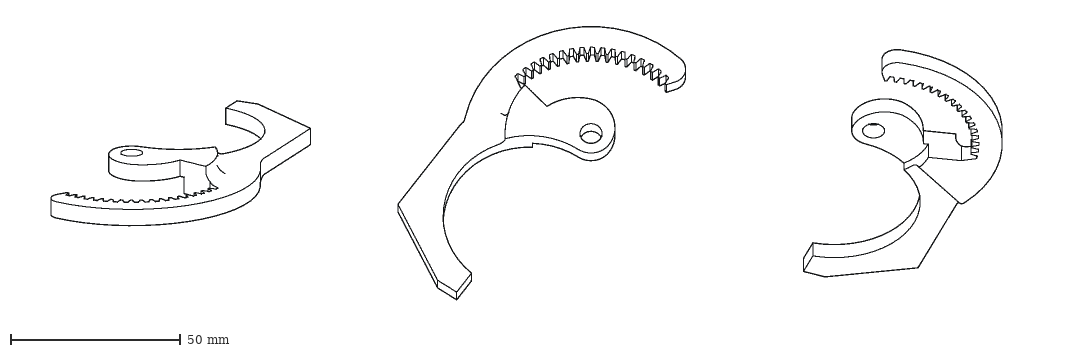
import cadquery as cq
import math

total_height = 10.2
plate = total_height / 2
jaw_bottom = plate / 2
jaw_top = total_height - plate / 2

hole_diameter = 6.5
hub_radius = 6.5
lobe_radius = 10.0
lobe_center_x = lobe_radius - hub_radius
lobe_end_x = 5.3
flank_radius = 15.6
hub_corner = (15.8, 0.1)

mouth_radius = 25.4
mouth_center_y = hub_radius + mouth_radius
jaw_end_x = 3.1
jaw_end_y = 64.7
jaw_flat_end_x = 10.0
jaw_back_x = 34.0
jaw_bevel_angle = 30

ring_radius = 38.0
cap_radius = 4.5
cap_left_x = -10.0
root_radius = 31.1
tip_radius = 29.1
full_turn_teeth = 63
gap_count = 17
first_gap_angle = -10.0
root_gap_width = 1.1
tooth_tip_width = 0.6

lead_bend_start = (26.9, -2.4)
lead_bend_end = (29.1, -3.8)

step_radius = 25.4
jaw_fillet = 2.5
ring_fillet = 3.7
clearance_radius = 17.3

ramp_run = 4.3
upper_ramp_angle = 44
upper_ramp_start_y = 19.4
lower_ramp_angle = 32.5
lower_ramp_start_y = 19.8

reach = 154.0

corner_size = (61.6, 35.9)
corner_start = (8.2, -10.3)
ring_fillet_start_angle = -30
ring_fillet_sweep = 90


def polar(radius, degrees):
    angle = math.radians(degrees)
    return (radius * math.cos(angle), radius * math.sin(angle))


def cap_center():
    x = cap_left_x + cap_radius
    return (x, -math.sqrt((ring_radius - cap_radius) ** 2 - x**2))


def tangent_point_on_cap(point):
    """Point where the line from `point` touches the outer side of the cap."""
    cx, cy = cap_center()
    dx, dy = point[0] - cx, point[1] - cy
    swing = math.acos(cap_radius / math.hypot(dx, dy))
    tx, ty = polar(cap_radius, math.degrees(math.atan2(dy, dx) + swing))
    return (cx + tx, cy + ty)


def tooth_points():
    """Corners of the teeth, from the cap end to the hub end of the ring."""
    pitch = 360 / full_turn_teeth
    half_root = math.degrees(root_gap_width / 2 / root_radius)
    half_tip = math.degrees(tooth_tip_width / 2 / tip_radius)
    points = []
    for index in reversed(range(gap_count)):
        gap = first_gap_angle - index * pitch
        tooth = gap - pitch / 2
        points.append(polar(tip_radius, tooth - half_tip))
        points.append(polar(tip_radius, tooth + half_tip))
        points.append(polar(root_radius, gap - half_root))
        points.append(polar(root_radius, gap + half_root))
    return points


def plan_outline():
    mouth_end_y = mouth_center_y + math.sqrt(mouth_radius**2 - jaw_end_x**2)
    bevel_drop = (jaw_back_x - jaw_flat_end_x) * math.tan(math.radians(jaw_bevel_angle))
    ring_start_y = math.sqrt(ring_radius**2 - jaw_back_x**2)
    cx, cy = cap_center()
    cap_start = polar(ring_radius, math.degrees(math.atan2(cy, cx)))
    teeth = tooth_points()
    lobe_end_y = -math.sqrt(lobe_radius**2 - (lobe_end_x - lobe_center_x) ** 2)
    lobe_mid = polar(lobe_radius, 225)
    return (
        cq.Workplane("XY")
        .moveTo(0, hub_radius)
        .threePointArc((mouth_radius, mouth_center_y), (jaw_end_x, mouth_end_y))
        .lineTo(jaw_end_x, jaw_end_y)
        .lineTo(jaw_flat_end_x, jaw_end_y)
        .lineTo(jaw_back_x, jaw_end_y - bevel_drop)
        .lineTo(jaw_back_x, ring_start_y)
        .threePointArc(polar(ring_radius, -45), cap_start)
        .threePointArc((cap_left_x, cy), tangent_point_on_cap(teeth[0]))
        .polyline(teeth, includeCurrent=True)
        .lineTo(*lead_bend_end)
        .tangentArcPoint(lead_bend_start, relative=False)
        .lineTo(*hub_corner)
        .radiusArc((lobe_end_x, lobe_end_y), flank_radius)
        .threePointArc((lobe_center_x + lobe_mid[0], lobe_mid[1]), (-hub_radius, 0))
        .threePointArc(polar(hub_radius, 135), (0, hub_radius))
        .close()
    )


def ramp_body(angle, start_y, high, low, far_z):
    """Block between `far_z` and an S-shaped face from `high` down to `low`."""
    along_x, along_y = polar(1, angle)
    plane = cq.Plane(
        origin=(jaw_back_x, start_y, 0),
        xDir=(along_y, -along_x, 0),
        normal=(-along_x, -along_y, 0),
    )
    middle = (ramp_run / 2, (high + low) / 2)
    return (
        cq.Workplane(plane)
        .moveTo(-reach, far_z)
        .lineTo(-reach, high)
        .lineTo(0, high)
        .tangentArcPoint(middle, relative=False)
        .tangentArcPoint((ramp_run, low), relative=False)
        .lineTo(reach, low)
        .lineTo(reach, far_z)
        .close()
        .extrude(reach, both=True)
    )


def is_step_foot(edge):
    """True for an edge where the hub step stands on the jaw, the ramp or the ring."""
    tolerance = 0.01
    samples = [edge.positionAt(t) for t in (0.2, 0.5, 0.8)]
    on_step = all(abs(math.hypot(p.x, p.y) - step_radius) < tolerance for p in samples)
    return on_step and edge.Center().z < jaw_top + tolerance


def stepped_body():
    """Jaw and ring tops joined by the upper ramp, with the hub step and its jaw fillet on them."""
    step = cq.Workplane("XY").circle(step_radius).extrude(total_height).rotate((0, 0, 0), (0, 0, 1), 180)
    body = ramp_body(upper_ramp_angle, upper_ramp_start_y, jaw_top, plate, 0).union(step)
    box = cq.Workplane("XY").box(*corner_size, total_height, centered=False).translate((*corner_start, 0))
    corner = body.intersect(box)
    feet = [edge for edge in corner.edges("not |Z").vals() if is_step_foot(edge)]
    return body.union(corner.newObject(feet).fillet(jaw_fillet))


def ring_fillet_body():
    """Wider fillet between the hub step and the ring top."""
    inner = step_radius - 1
    return (
        cq.Workplane("XZ")
        .moveTo(inner, plate)
        .lineTo(step_radius + ring_fillet, plate)
        .radiusArc((step_radius, plate + ring_fillet), ring_fillet)
        .lineTo(inner, plate + ring_fillet)
        .close()
        .revolve(ring_fillet_sweep, (0, 0), (0, 1))
        .rotate((0, 0, 0), (0, 0, 1), ring_fillet_start_angle)
    )


upper_body = stepped_body().union(ring_fillet_body())
lower_body = ramp_body(lower_ramp_angle, lower_ramp_start_y, jaw_bottom, 0, total_height)
hole = cq.Workplane("XY").circle(hole_diameter / 2).extrude(total_height)
hub_clearance = cq.Workplane("XY").circle(clearance_radius).extrude(plate)

result = (
    plan_outline()
    .extrude(total_height)
    .intersect(upper_body)
    .intersect(lower_body)
    .cut(hub_clearance)
    .cut(hole)
)